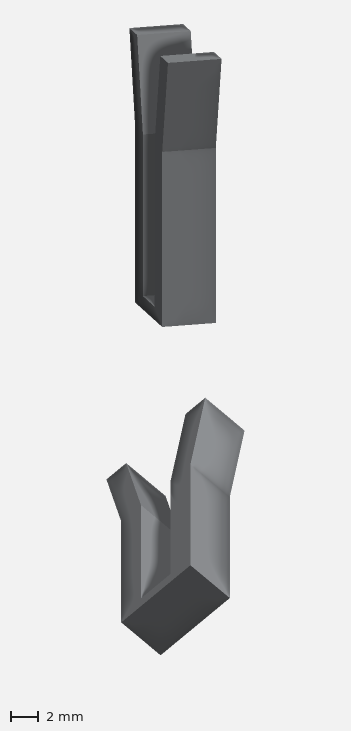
import cadquery as cq

height = 20.0
depth = 4.0
tip_width = 10.0
arm_width = 2.0
slot_width = 3.0
floor_thickness = 1.0
bend_height = 13.0

slot_half = slot_width / 2
body_half = slot_half + arm_width
tip_half = tip_width / 2

right_half = [
    (body_half, 0),
    (body_half, bend_height),
    (tip_half, height),
    (tip_half - arm_width, height),
    (slot_half, bend_height),
    (slot_half, floor_thickness),
]
left_half = [(-x, z) for x, z in reversed(right_half)]

result = (
    cq.Workplane("XZ")
    .polyline(right_half + left_half)
    .close()
    .extrude(depth / 2, both=True)
)